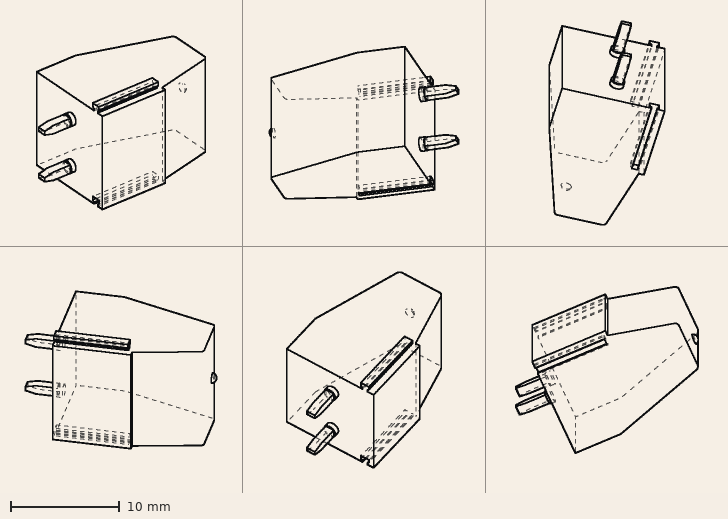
import cadquery as cq


pole_count = 2
pole_pitch = 5.08
body_width = 9.8
body_depth = 13.8
body_height = pole_count * pole_pitch
slope_start_y = 4.58
ledge_y = 7.4
ledge_width = 0.5
crown_left_x = 3.0
crown_right_x = 7.8
crown_radius = 0.4

dovetail_x = 8.81
dovetail_length = 7.0
dovetail_height = 0.75
head_width = 0.9
neck_width = 0.53
neck_height = 0.18
flare_height = (head_width - neck_width) / 2

pin_x = 5.2
collar_diameter = 1.3
collar_length = 0.5
pin_size = 0.9
pin_reach = 3.5
taper_length = 1.0
tip_height = 0.4

bump_x = 4.09
bump_radius = 0.5
bump_height = 0.39


def make_housing():
    outline = [
        (0, 0),
        (body_width, 0),
        (body_width, ledge_y),
        (body_width - ledge_width, ledge_y),
        (crown_right_x, body_depth),
        (crown_left_x, body_depth),
        (0, slope_start_y),
    ]
    block = cq.Workplane("XY").polyline(outline).close().extrude(body_height)
    return block.faces(">Y").edges("|Z").fillet(crown_radius)


def make_dovetail(base_z):
    """Bar along Y from the -Y face, with its neck standing on base_z."""
    half_neck = neck_width / 2
    half_head = head_width / 2
    right_side = [
        (half_neck, 0),
        (half_neck, neck_height),
        (half_head, neck_height + flare_height),
        (half_head, dovetail_height),
    ]
    left_side = [(-x, z) for x, z in reversed(right_side)]
    bar = cq.Workplane("XZ").polyline(right_side + left_side).close().extrude(-dovetail_length)
    return bar.translate((dovetail_x, 0, base_z))


def make_pin(center_z):
    """Round collar carrying a square pin whose tip tapers in Z only."""
    collar = cq.Workplane("XZ").circle(collar_diameter / 2).extrude(collar_length)
    half_size = pin_size / 2
    half_tip = tip_height / 2
    taper_start_y = taper_length - pin_reach
    side_outline = [
        (0, -half_size),
        (taper_start_y, -half_size),
        (-pin_reach, -half_tip),
        (-pin_reach, half_tip),
        (taper_start_y, half_size),
        (0, half_size),
    ]
    blade = cq.Workplane("YZ").polyline(side_outline).close().extrude(half_size, both=True)
    return collar.union(blade).translate((pin_x, 0, center_z))


def make_bump():
    center_y = body_depth + bump_height - bump_radius
    return cq.Workplane("XY").sphere(bump_radius).translate((bump_x, center_y, body_height / 2))


result = make_housing()
result = result.cut(make_dovetail(0))
result = result.union(make_dovetail(body_height))
for pole in range(pole_count):
    result = result.union(make_pin((pole + 0.5) * pole_pitch))
result = result.union(make_bump())